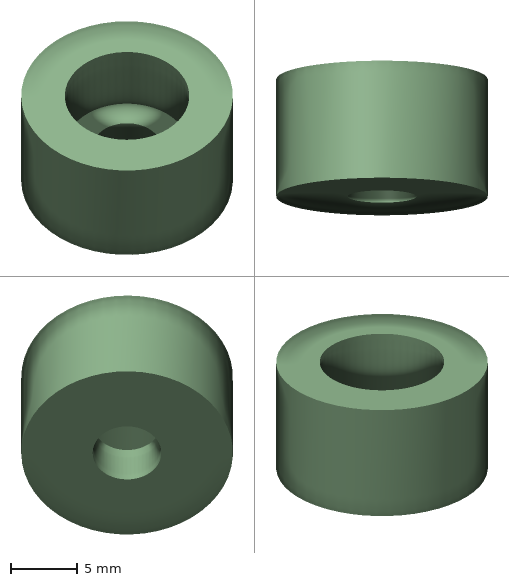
import cadquery as cq

outer_diameter = 16.0
height = 9.0
bore_diameter = 5.2
counterbore_diameter = 9.4
counterbore_depth = 5.5

body = cq.Workplane("XY").circle(outer_diameter / 2).extrude(height)

result = (
    body.faces(">Z")
    .workplane()
    .cboreHole(bore_diameter, counterbore_diameter, counterbore_depth)
)